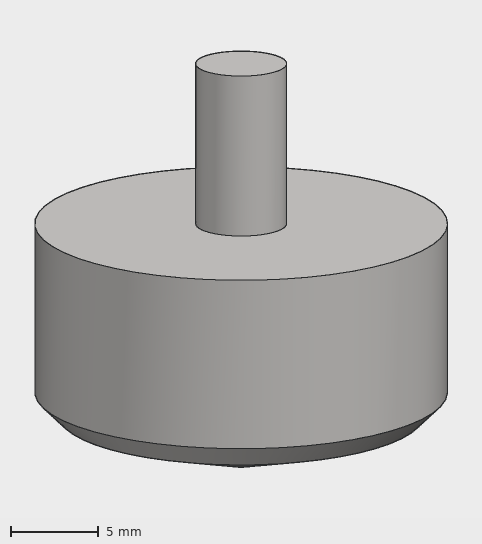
import cadquery as cq

total_height = 24.0
body_diameter = 23.6
pin_diameter = 5.2
pin_height = 9.5
body_height = 10.0
chamfer_size = 1.35

body_radius = body_diameter / 2
pin_radius = pin_diameter / 2
cone_radius = body_radius - chamfer_size
body_top = total_height - pin_height
wall_bottom = body_top - body_height
cone_top = wall_bottom - chamfer_size

half_profile = (
    cq.Workplane("XZ")
    .moveTo(0, 0)
    .lineTo(cone_radius, cone_top)
    .lineTo(body_radius, wall_bottom)
    .lineTo(body_radius, body_top)
    .lineTo(pin_radius, body_top)
    .lineTo(pin_radius, total_height)
    .lineTo(0, total_height)
    .close()
)

result = half_profile.revolve(360, (0, 0, 0), (0, 1, 0))